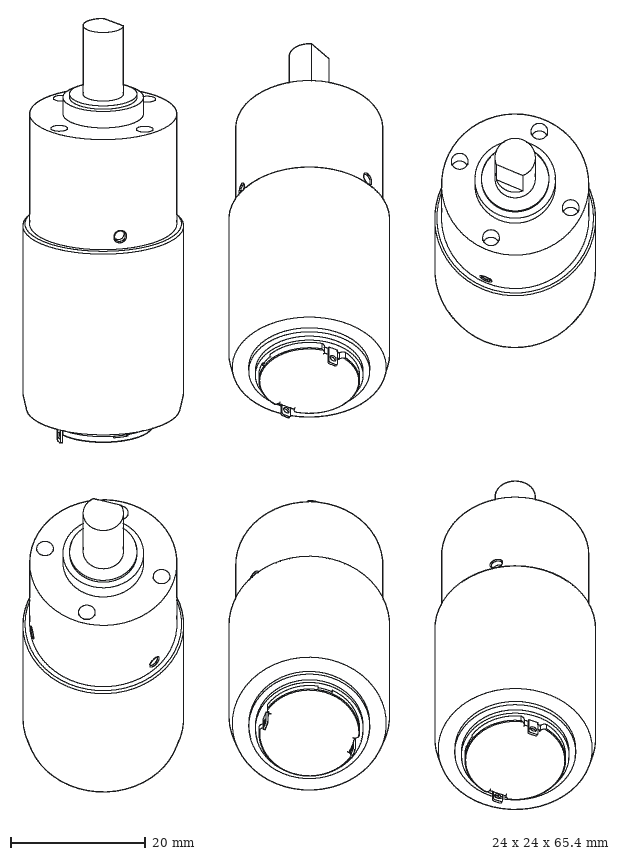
import cadquery as cq
import math


motor_radius = 12.0
motor_length = 29.3
motor_top_chamfer = 0.3
taper_height = 2.4
taper_inset = 0.5
upper_step_radius = 9.0
lower_step_radius = 8.05
step_height = 0.8
cap_radius = 7.5
cap_height = 1.2
cap_chamfer = 0.1
vent_width = 2.2
vent_height = 0.45
vent_depth = 0.65

upper_step_bottom = -motor_length - step_height
lower_step_bottom = upper_step_bottom - step_height
cap_bottom = lower_step_bottom - cap_height

terminal_width = 1.45
terminal_thickness = 0.3
terminal_inner_y = 6.75
terminal_projection = 1.75
terminal_corner_radius = 0.25
terminal_hole_diameter = 1.0
terminal_hole_drop = 0.7
recess_width = 2.55
recess_mouth_radius = 0.8

terminal_tip = cap_bottom - terminal_projection

gearbox_radius = 11.0
gearbox_length = 17.5
bore_radius = 10.0
end_wall = 7.85
boss_radius = 6.0
boss_height = 2.6
collar_radius = 5.05
collar_height = 0.5
feature_angle = 112.5

overall_length = 65.4
shaft_radius = 3.0
shaft_top = overall_length + terminal_tip
flat_length = 8.0
flat_offset = 2.1

mount_hole_count = 4
mount_hole_diameter = 2.5
mount_hole_circle_radius = 9.0
mount_hole_depth = 4.0
drill_point_angle = 118
side_hole_count = 3
side_hole_diameter = 1.65
side_hole_mouth_diameter = 1.95
side_hole_height = 1.95


def disc(radius, bottom, height):
    return cq.Workplane("XY", origin=(0, 0, bottom)).circle(radius).extrude(height)


def make_terminal_recess():
    """Cutter for the -Y side: a slot whose mouth flares out in two convex arcs."""
    half_slot = recess_width / 2
    half_mouth = half_slot + recess_mouth_radius
    mouth_y = -math.sqrt(cap_radius**2 - half_mouth**2)
    arc_end_y = mouth_y + recess_mouth_radius
    arc_inset = recess_mouth_radius * (1 - math.sqrt(0.5))
    return (
        cq.Workplane("XY", origin=(0, 0, cap_bottom))
        .moveTo(-half_slot, -terminal_inner_y)
        .lineTo(-half_slot, arc_end_y)
        .threePointArc((-half_slot - arc_inset, mouth_y + arc_inset), (-half_mouth, mouth_y))
        .lineTo(-half_mouth, -cap_radius)
        .lineTo(half_mouth, -cap_radius)
        .lineTo(half_mouth, mouth_y)
        .threePointArc((half_slot + arc_inset, mouth_y + arc_inset), (half_slot, arc_end_y))
        .lineTo(half_slot, -terminal_inner_y)
        .close()
        .extrude(cap_height)
    )


def make_motor():
    profile = [
        (0, 0),
        (motor_radius - motor_top_chamfer, 0),
        (motor_radius, -motor_top_chamfer),
        (motor_radius, taper_height - motor_length),
        (motor_radius - taper_inset, -motor_length),
        (upper_step_radius, -motor_length),
        (upper_step_radius, upper_step_bottom),
        (lower_step_radius, upper_step_bottom),
        (lower_step_radius, lower_step_bottom),
        (cap_radius, lower_step_bottom),
        (cap_radius, cap_bottom + cap_chamfer),
        (cap_radius - cap_chamfer, cap_bottom),
        (0, cap_bottom),
    ]
    motor = cq.Workplane("XZ").polyline(profile).close().revolve(360, (0, 0), (0, 1))

    recess = make_terminal_recess()
    for angle in (0, 180):
        motor = motor.cut(recess.rotate((0, 0, 0), (0, 0, 1), angle))

    for side in (-1, 1):
        vent = cq.Workplane("XY").box(2 * vent_depth, vent_width, vent_height)
        vent_center = (side * cap_radius, 0, lower_step_bottom - vent_height / 2)
        motor = motor.cut(vent.translate(vent_center))
    return motor


def make_terminal(angle):
    """Flat solder tab with rounded corners and an eyelet, turned about Z to its side."""
    tab_height = lower_step_bottom - terminal_tip
    tab = (
        cq.Workplane("XZ", origin=(0, -terminal_inner_y, terminal_tip + tab_height / 2))
        .rect(terminal_width, tab_height)
        .extrude(terminal_thickness)
        .edges("|Y and <Z")
        .fillet(terminal_corner_radius)
    )
    eyelet = (
        cq.Workplane("XZ", origin=(0, -terminal_inner_y, cap_bottom - terminal_hole_drop))
        .circle(terminal_hole_diameter / 2)
        .extrude(terminal_thickness)
    )
    return tab.cut(eyelet).rotate((0, 0, 0), (0, 0, 1), angle)


def make_mount_hole():
    """Cutter for a blind drilled hole with a conical end."""
    radius = mount_hole_diameter / 2
    cone_depth = radius / math.tan(math.radians(drill_point_angle / 2))
    return (
        cq.Workplane("XZ")
        .polyline([(0, 0), (radius, 0), (radius, -mount_hole_depth), (0, -mount_hole_depth - cone_depth)])
        .close()
        .revolve(360, (0, 0), (0, 1))
        .translate((mount_hole_circle_radius, 0, gearbox_length))
    )


def make_side_hole():
    """Cutter along +X for a radial hole with a 90 degree countersink at the outer wall."""
    radius = side_hole_diameter / 2
    mouth_radius = side_hole_mouth_diameter / 2
    mouth_x = math.sqrt(gearbox_radius**2 - mouth_radius**2)
    countersink_x = mouth_x - (mouth_radius - radius)
    return (
        cq.Workplane("XY")
        .polyline([
            (0, 0),
            (0, radius),
            (countersink_x, radius),
            (mouth_x, mouth_radius),
            (gearbox_radius, mouth_radius),
            (gearbox_radius, 0),
        ])
        .close()
        .revolve(360, (0, 0), (1, 0))
        .translate((0, 0, side_hole_height))
    )


def make_gearbox():
    boss_top = gearbox_length + boss_height
    gearbox = disc(gearbox_radius, 0, gearbox_length)
    gearbox = gearbox.union(disc(boss_radius, gearbox_length, boss_height))
    gearbox = gearbox.union(disc(collar_radius, boss_top, collar_height))
    gearbox = gearbox.union(disc(shaft_radius, boss_top, shaft_top - boss_top))

    gearbox = gearbox.cut(disc(bore_radius, 0, gearbox_length - end_wall))

    flat_cutter = (
        cq.Workplane("XY", origin=(flat_offset, 0, shaft_top - flat_length))
        .rect(2 * shaft_radius, 2 * shaft_radius)
        .extrude(flat_length)
        .translate((shaft_radius, 0, 0))
    )
    gearbox = gearbox.cut(flat_cutter)

    mount_hole = make_mount_hole()
    for index in range(mount_hole_count):
        angle = index * 360 / mount_hole_count
        gearbox = gearbox.cut(mount_hole.rotate((0, 0, 0), (0, 0, 1), angle))

    side_hole = make_side_hole()
    for index in range(side_hole_count):
        angle = index * 360 / side_hole_count
        gearbox = gearbox.cut(side_hole.rotate((0, 0, 0), (0, 0, 1), angle))

    return gearbox.rotate((0, 0, 0), (0, 0, 1), feature_angle)


motor = make_motor()
gearbox = make_gearbox()
terminals = [make_terminal(angle) for angle in (0, 180)]

result = cq.Compound.makeCompound(
    [motor.val(), gearbox.val(), *[terminal.val() for terminal in terminals]]
)